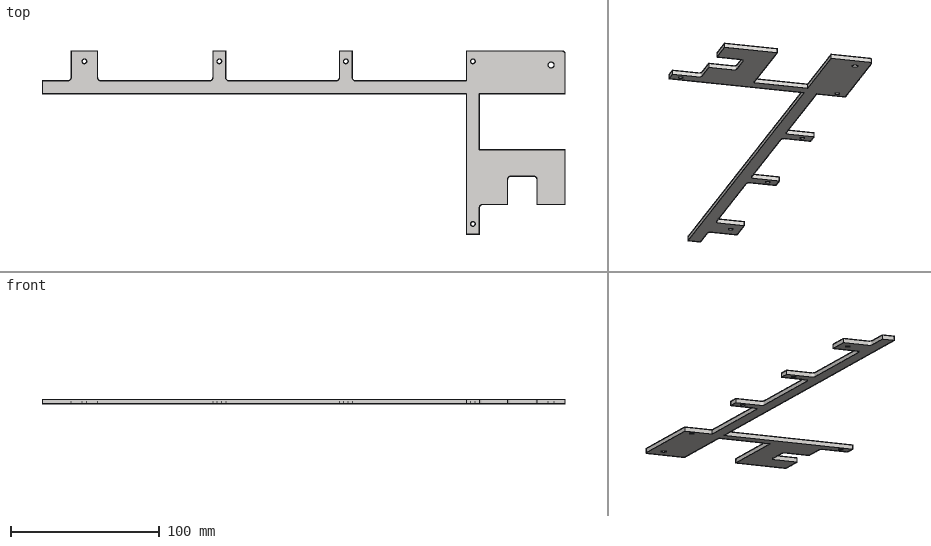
import cadquery as cq

length = 351.5
depth = 123.5
thickness = 3.0

strip_width = 8.8
tab_height = 20.0
bar_top = depth - tab_height
bar_bottom = bar_top - strip_width
column_left = 285.0
column_right = column_left + strip_width

wide_tab_left = 19.5
wide_tab_width = 18.0
narrow_tab_lefts = (114.5, 199.5)

plate_bottom = 20.0
plate_top = 57.0
slot_left = 313.0
slot_width = 19.7
slot_depth = 19.0

inner_radius = 2.0
outer_radius = 2.0

hole_diameter = 3.0
hole_edge_distance = 7.0
corner_hole_diameter = 4.0
corner_hole_edge_distance = 9.5
column_hole_x = column_left + strip_width / 2


def block(left, right, bottom, top):
    """Return a full-thickness rectangular plate between the given sides."""
    return (
        cq.Workplane("XY")
        .box(right - left, top - bottom, thickness, centered=False)
        .translate((left, bottom, 0))
    )


def drill(body, points, diameter):
    """Cut vertical through holes at the given points."""
    pins = cq.Workplane("XY").pushPoints(points).circle(diameter / 2).extrude(thickness)
    return body.cut(pins)


def round_corners(body, points, radius):
    """Round the vertical edges standing at the given corner points."""
    for x, y in points:
        edge = cq.selectors.NearestToPointSelector((x, y, thickness / 2))
        body = body.edges("|Z").edges(edge).fillet(radius)
    return body


body = block(0, column_right, bar_bottom, bar_top)
body = body.union(block(column_left, column_right, 0, depth))
body = body.union(block(column_left, length, bar_bottom, depth))
body = body.union(block(column_left, length, plate_bottom, plate_top))

tabs = [(wide_tab_left, wide_tab_left + wide_tab_width)]
tabs += [(left, left + strip_width) for left in narrow_tab_lefts]
for left, right in tabs:
    body = body.union(block(left, right, bar_bottom, depth))

slot_right = slot_left + slot_width
slot_top = plate_bottom + slot_depth
body = body.cut(block(slot_left, slot_right, plate_bottom, slot_top))

inner_corners = [(x, bar_top) for sides in tabs for x in sides]
inner_corners += [
    (column_right, plate_bottom),
    (slot_left, slot_top),
    (slot_right, slot_top),
]
body = round_corners(body, inner_corners, inner_radius)
body = round_corners(body, [(length, depth)], outer_radius)

upper_hole_y = depth - hole_edge_distance
mounting_holes = [((left + right) / 2, upper_hole_y) for left, right in tabs]
mounting_holes += [(column_hole_x, upper_hole_y), (column_hole_x, hole_edge_distance)]
body = drill(body, mounting_holes, hole_diameter)

corner_hole = (length - corner_hole_edge_distance, depth - corner_hole_edge_distance)
result = drill(body, [corner_hole], corner_hole_diameter)